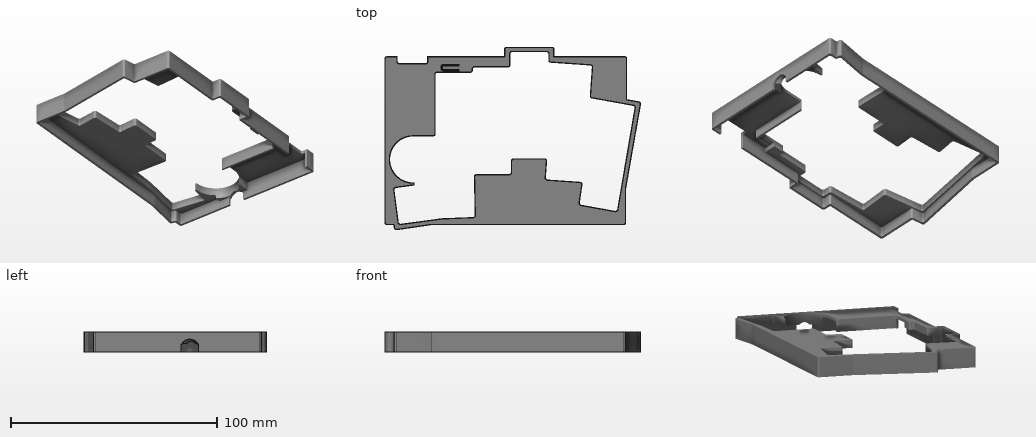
import cadquery as cq
import math

overall_width = 123.9
height = 9.9
body_width = 117.2
body_length = 81.4
wall = 1.2
key_plate = 4.0
thin_plate = 1.5
corner_radius = 1.0
overlap = 1.2

tab_left = 58.0
tab_right = 81.9
tab_top = 86.0

wing_tilt = math.radians(10)
wing_corner_x = overall_width + corner_radius * (math.cos(wing_tilt) + math.sin(wing_tilt) - 1)
wing_corner_y = 59.3
wing_corner = (wing_corner_x, wing_corner_y)
wing_root_y = wing_corner_y + (wing_corner_x - body_width) * math.tan(wing_tilt)
wing_foot_x = 116.7
wing_foot_y = wing_corner_y - (wing_corner_x - wing_foot_x) / math.tan(wing_tilt)

thumb_tip = (4.7, -2.6)
thumb_root_x = 4.3
thumb_end_x = 22.5

bay_right = 24.3
bay_front = 43.0
bay_back = 73.8
button_step_x = 42.4
upper_row_y = 76.4
tab_opening_left = 60.6
tab_opening_right = 79.4
tab_opening_top = 83.9
island_left = 43.4
island_step_x = 61.3
island_step_y = 24.3
island_top = 31.8

bite_radius = 11.4
bite_x = 13.6
bite_y = bay_front - bite_radius

notch_left = 6.0
notch_right = 20.7
notch_depth = 3.3

bay_front_wall = 41.6
divider = 1.1
divider_bottom = 3.7

slit_width = 0.43
slit_left = 27.3
slit_right = 35.8
slit_front = 74.7
slit_back = 77.5

port_y = 34.7
port_radius = 4.2
port_inner_radius = 2.2
port_axis_z = 2.1
port_slot_top = 3.8
port_taper_length = 2.7
port_block_bottom = 4.2
port_block_right = 8.9
port_block_front = 24.8


def prism(points, bottom, top):
    """Straight vertical solid over a closed polygon."""
    return cq.Workplane("XY").workplane(offset=bottom).polyline(points).close().extrude(top - bottom)


def round_corners(solid, corners, radius):
    """Fillet the vertical edges standing on the given plan corners."""
    for x, y in corners:
        middle = solid.val().Center().z
        corner_edge = cq.selectors.NearestToPointSelector((x, y, middle))
        solid = solid.edges(corner_edge).fillet(radius)
    return solid


def box(x_range, y_range, z_range):
    """Axis-aligned box from three (low, high) ranges."""
    (x0, x1), (y0, y1), (z0, z1) = x_range, y_range, z_range
    return cq.Workplane("XY").box(x1 - x0, y1 - y0, z1 - z0, centered=False).translate((x0, y0, z0))


tab_corners = [(tab_right, tab_top), (tab_left, tab_top)]
body_back_corners = [(body_width, body_length), (0, body_length)]
outline = [
    (0, 0),
    (thumb_root_x, 0),
    thumb_tip,
    (thumb_end_x, 0),
    (wing_foot_x, 0),
    (wing_foot_x, wing_foot_y),
    wing_corner,
    (body_width, wing_root_y),
    body_back_corners[0],
    (tab_right, body_length),
    *tab_corners,
    (tab_left, body_length),
    body_back_corners[1],
]
rounded_outline = [(0, 0), thumb_tip, (wing_foot_x, 0), wing_corner, *body_back_corners, *tab_corners]
shell = round_corners(prism(outline, 0, height), rounded_outline, corner_radius)

notch = box(
    (notch_left, notch_right),
    (body_length - notch_depth, body_length + overlap),
    (-overlap, height + overlap),
)
notch = notch.edges("|Z and <Y").fillet(corner_radius)

opening_back = [
    (bay_right, bay_back),
    (button_step_x, bay_back),
    (button_step_x, upper_row_y),
    (tab_opening_left, upper_row_y),
    (tab_opening_left, tab_opening_top),
    (tab_opening_right, tab_opening_top),
]
opening_right = [
    (tab_opening_right, 78.8),
    (100.6, 77.3),
    (99.5, 61.6),
    (121.4, 57.6),
    (112.6, 6.2),
    (94.0, 9.5),
    (95.6, 20.5),
    (77.7, 21.7),
    (78.4, island_top),
]
opening_front = [
    (island_step_x, island_top),
    (island_step_x, island_step_y),
    (island_left, island_step_y),
    (43.7, 3.5),
]
thumb_bend = (27.9, 2.8)
opening_thumb = [(6.6, 0.0), (4.2, 17.8)]
spur_tip = (14.0, 19.2)
bite_start = (bite_x, bay_front)
bite_end = (bite_x, bite_y - bite_radius)
opening_points = [
    *opening_back,
    *opening_right,
    *opening_front,
    thumb_bend,
    *opening_thumb,
    spur_tip,
    (spur_tip[0], bite_end[1]),
    bite_end,
]
opening = (
    cq.Workplane("XY")
    .workplane(offset=-overlap)
    .polyline(opening_points)
    .threePointArc((bite_x - bite_radius, bite_y), bite_start)
    .lineTo(bay_right, bay_front)
    .close()
    .extrude(height + 2 * overlap)
)
rounded_opening = [*opening_back, *opening_right, *opening_front, *opening_thumb, (bay_right, bay_front)]
opening = round_corners(opening, rounded_opening, corner_radius)

pocket = (
    cq.Workplane("XY")
    .polyline(outline)
    .close()
    .offset2D(-wall, "intersection")
    .extrude(height - key_plate)
    .edges("|Z")
    .fillet(corner_radius)
)
bay_top = height - thin_plate
bay = box(
    (wall, bay_right - divider),
    (bay_front_wall, body_length - wall),
    (0, bay_top),
)
button_bay = box(
    (bay_right - divider, slit_right),
    (bay_back - overlap, body_length - wall),
    (0, bay_top),
)
lip = box(
    (bay_right - divider, bay_right),
    (bay_front, bay_back),
    (divider_bottom, height),
)
port_block = box(
    (wall, port_block_right),
    (port_block_front, bay_front_wall),
    (port_block_bottom, height),
)

slit_outer = box((slit_left, slit_right), (slit_front, slit_back), (bay_top - overlap, height + overlap))
slit_outer = slit_outer.edges("|Z and <X").fillet(corner_radius)
tongue = box(
    (slit_left + slit_width, slit_right),
    (slit_front + slit_width, slit_back - slit_width),
    (bay_top - overlap, height + overlap),
)
tongue = tongue.edges("|Z and <X").fillet(corner_radius - slit_width)
slit = slit_outer.cut(tongue)

port_wall_bore = (
    cq.Workplane("YZ")
    .workplane(offset=-overlap)
    .center(port_y, port_axis_z)
    .circle(port_radius)
    .extrude(wall + overlap)
)
port_slot = box(
    (-overlap, wall),
    (port_y - port_radius, port_y + port_radius),
    (-overlap, port_slot_top),
)
port_taper = (
    cq.Workplane("YZ")
    .workplane(offset=wall)
    .center(port_y, port_axis_z)
    .circle(port_radius)
    .workplane(offset=port_taper_length)
    .circle(port_inner_radius)
    .loft()
)
port = port_wall_bore.union(port_slot).union(port_taper)

cavity = pocket.union(bay).union(button_bay).cut(port_block).cut(lip)
result = shell.cut(cavity).cut(opening).cut(notch).cut(slit).cut(port)